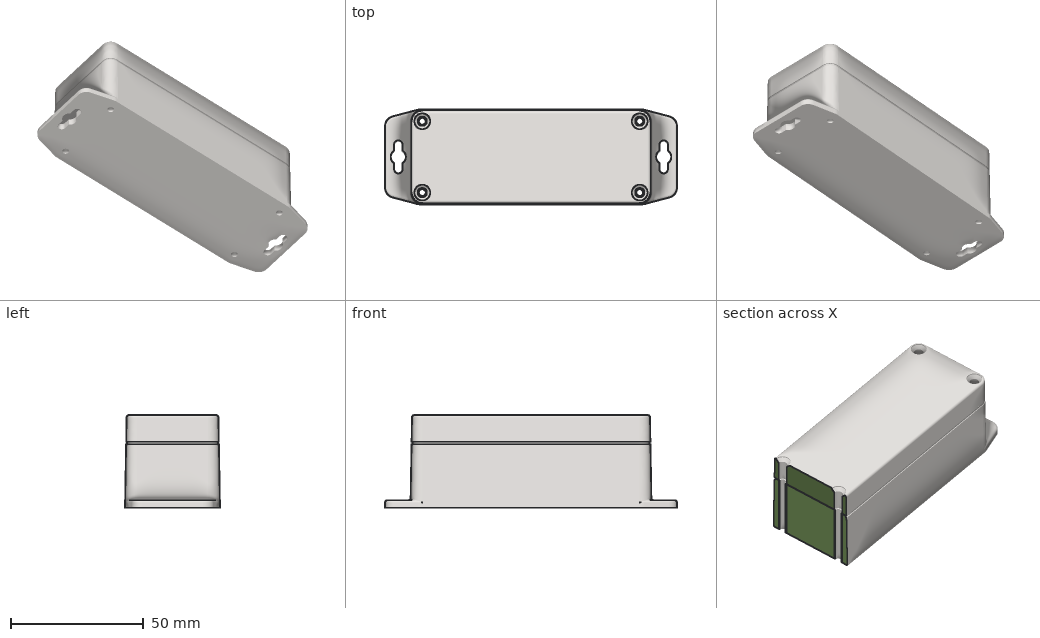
import cadquery as cq
import math

HEIGHT = 35.0
BOTTOM_LENGTH = 90.9
BOTTOM_WIDTH = 35.9
CORNER_RADIUS = 4.5
DRAFT = 1.0
EDGE_RADIUS = 1.0

LID_BOTTOM = 24.9
GAP_HEIGHT = 1.0
GAP_DEPTH = 0.3
RIM_Z = LID_BOTTOM - GAP_HEIGHT

EAR_SPAN = 110.0
EAR_TIP_WIDTH = 29.0
EAR_ROOT_X = 42.1
EAR_THICKNESS = 3.0
EAR_CORNER_RADIUS = 4.0
EAR_WALL_FILLET = 0.5

KEYHOLE_X = 49.9
KEYHOLE_DIAMETER = 5.6
KEYHOLE_SLOT_WIDTH = 3.1
KEYHOLE_SLOT_LENGTH = 12.3

SCREW_X = BOTTOM_LENGTH / 2 - CORNER_RADIUS
SCREW_Y = BOTTOM_WIDTH / 2 - CORNER_RADIUS
SCREW_POINTS = [(sx * SCREW_X, sy * SCREW_Y) for sx in (-1, 1) for sy in (-1, 1)]
HEAD_DIAMETER = 5.9
HEAD_RIM_DEPTH = 0.4
CONE_DEPTH = 1.2
SCREW_CLEARANCE = 3.5

INSERT_DIAMETER = SCREW_CLEARANCE
INSERT_BORE = 2.5


def inset_at(z):
    """How far the drafted walls have moved inward at height z."""
    return z * math.tan(math.radians(DRAFT))


def rounded_block(z_bottom, z_top, inset, draft):
    """Block with the box's rounded outline, moved in by inset at its bottom."""
    outline = cq.Sketch().rect(BOTTOM_LENGTH - 2 * inset, BOTTOM_WIDTH - 2 * inset)
    outline = outline.vertices().fillet(CORNER_RADIUS - inset)
    block = cq.Workplane().placeSketch(outline).extrude(z_top - z_bottom, taper=draft)
    return block.translate((0, 0, z_bottom))


def make_ear_plate():
    """Plate under the whole box whose two ends are the ears."""
    tip_x = EAR_SPAN / 2
    tip_y = EAR_TIP_WIDTH / 2
    side_y = BOTTOM_WIDTH / 2
    outline = (
        cq.Sketch()
        .polygon([
            (-tip_x, -tip_y), (-EAR_ROOT_X, -side_y), (EAR_ROOT_X, -side_y), (tip_x, -tip_y),
            (tip_x, tip_y), (EAR_ROOT_X, side_y), (-EAR_ROOT_X, side_y), (-tip_x, tip_y),
            (-tip_x, -tip_y),
        ])
        .vertices()
        .fillet(EAR_CORNER_RADIUS)
    )
    plate = cq.Workplane().placeSketch(outline).extrude(EAR_THICKNESS, taper=DRAFT)
    return plate.faces(">Z").edges().fillet(EDGE_RADIUS)


def make_keyholes():
    """Cutters for the keyholes of both ears, their slots turned to run along Y."""
    centers = cq.Workplane().pushPoints([(-KEYHOLE_X, 0), (KEYHOLE_X, 0)])
    slots = centers.slot2D(KEYHOLE_SLOT_LENGTH, KEYHOLE_SLOT_WIDTH, 90).extrude(EAR_THICKNESS)
    rounds = centers.circle(KEYHOLE_DIAMETER / 2).extrude(EAR_THICKNESS)
    return slots.union(rounds)


def make_housing():
    """Lower box with ears, a tongue under the lid and holes for the inserts."""
    housing = rounded_block(0, RIM_Z, 0, DRAFT).union(make_ear_plate())

    wall_x = BOTTOM_LENGTH / 2 - inset_at(EAR_THICKNESS)
    for x in (-wall_x, wall_x):
        corner = cq.selectors.NearestToPointSelector((x, 0, EAR_THICKNESS))
        housing = housing.edges(corner).fillet(EAR_WALL_FILLET)

    housing = housing.cut(make_keyholes())
    housing = housing.union(rounded_block(RIM_Z, LID_BOTTOM, inset_at(RIM_Z) + GAP_DEPTH, 0))
    insert_holes = cq.Workplane().pushPoints(SCREW_POINTS).circle(INSERT_DIAMETER / 2)
    insert_holes = insert_holes.extrude(LID_BOTTOM)
    return housing.cut(insert_holes)


def make_screw_hole():
    """Cutter for one lid screw hole: shank, cone and straight head rim, turned about Z."""
    shank_r = SCREW_CLEARANCE / 2
    head_r = HEAD_DIAMETER / 2
    rim_z = HEIGHT - HEAD_RIM_DEPTH
    cone_z = rim_z - CONE_DEPTH
    profile = cq.Workplane("XZ").polyline([
        (0, LID_BOTTOM), (shank_r, LID_BOTTOM), (shank_r, cone_z),
        (head_r, rim_z), (head_r, HEIGHT), (0, HEIGHT),
    ])
    return profile.close().revolve(360, (0, 0, 0), (0, 1, 0))


def make_lid():
    """Upper box with a rounded top edge and four countersunk screw holes."""
    lid = rounded_block(LID_BOTTOM, HEIGHT, inset_at(LID_BOTTOM), DRAFT)
    lid = lid.faces(">Z").edges().fillet(EDGE_RADIUS)
    screw_hole = make_screw_hole()
    for x, y in SCREW_POINTS:
        lid = lid.cut(screw_hole.translate((x, y, 0)))
    return lid


def make_insert(x, y):
    """Screw insert: a plain sleeve filling its hole in the housing."""
    sleeve = cq.Workplane().center(x, y).circle(INSERT_DIAMETER / 2).circle(INSERT_BORE / 2)
    return sleeve.extrude(LID_BOTTOM)


housing = make_housing()
lid = make_lid()
inserts = [make_insert(x, y) for x, y in SCREW_POINTS]

result = cq.Compound.makeCompound([
    housing.val(),
    lid.val(),
    *[insert.val() for insert in inserts],
])